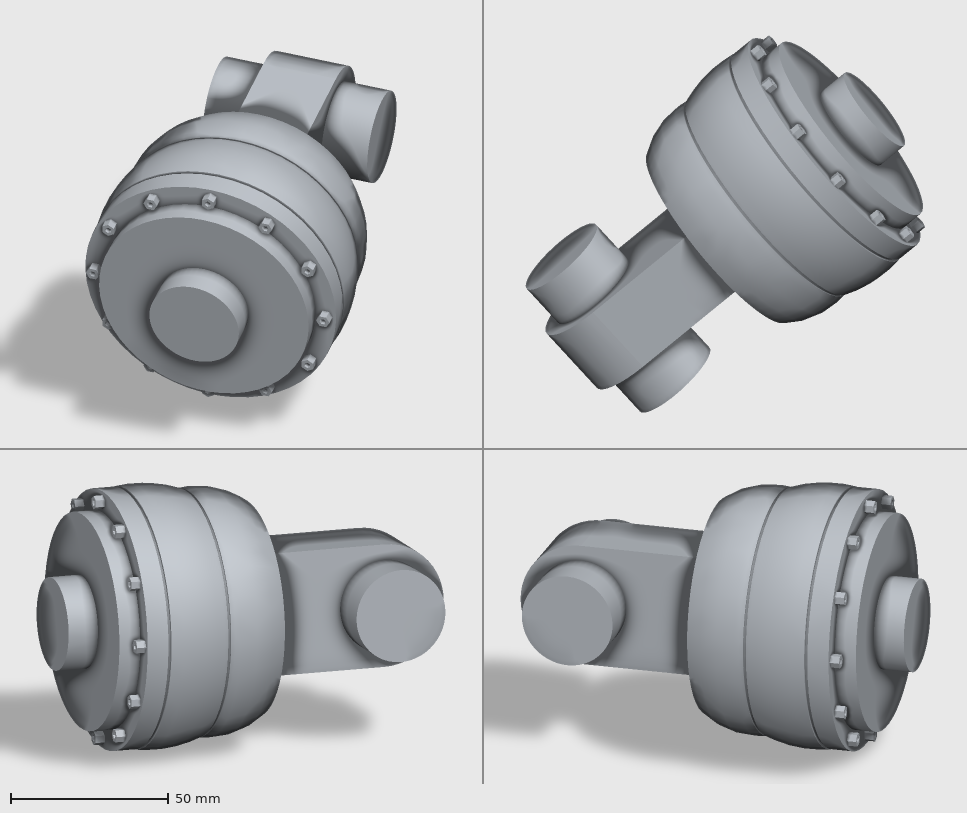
import cadquery as cq

TOTAL_LENGTH = 128.0

LINK_WIDTH = 24.3
LINK_HEIGHT = 40.0
LINK_END_RADIUS = LINK_HEIGHT / 2
PIN_DIAMETER = 30.1
PIN_LENGTH = 55.0

RING_LENGTH = 20.0
SPACER_LENGTH = 1.0
FLANGE_LENGTH = 7.0
COVER_LENGTH = 7.0
SHAFT_TIP_Y = LINK_END_RADIUS - TOTAL_LENGTH
BODY_BACK_Y = -42.0
REAR_RING_END_Y = BODY_BACK_Y - RING_LENGTH
FRONT_RING_START_Y = REAR_RING_END_Y - SPACER_LENGTH
FRONT_RING_END_Y = FRONT_RING_START_Y - RING_LENGTH
FLANGE_START_Y = FRONT_RING_END_Y - SPACER_LENGTH
FLANGE_FACE_Y = FLANGE_START_Y - FLANGE_LENGTH
COVER_FACE_Y = FLANGE_FACE_Y - COVER_LENGTH

REAR_RING_RADII = (35.0, 39.5, 39.8)
FRONT_RING_RADII = (40.0, 42.4, 42.1)

REAR_SPACER_RADIUS = 39.3
FRONT_SPACER_RADIUS = 41.2
FLANGE_RADIUS = 42.0
COVER_RADIUS = 35.1
SHAFT_RADIUS = 15.0

SCREW_COUNT = 12
SCREW_CIRCLE_RADIUS = 38.5
SCREW_HEAD_HEIGHT = 3.1
SCREW_HEAD_CORNERS = 4.5
SOCKET_CORNERS = 2.2
SOCKET_DEPTH = SCREW_HEAD_HEIGHT / 2


def body():
    """Housing turned about the Y axis: two bulged rings, spacers, flange, cover and shaft."""
    rear_back, rear_middle, rear_front = REAR_RING_RADII
    front_back, front_middle, front_front = FRONT_RING_RADII
    rear_middle_y = (BODY_BACK_Y + REAR_RING_END_Y) / 2
    front_middle_y = (FRONT_RING_START_Y + FRONT_RING_END_Y) / 2
    return (
        cq.Workplane("YZ")
        .moveTo(BODY_BACK_Y, 0)
        .lineTo(BODY_BACK_Y, rear_back)
        .threePointArc((rear_middle_y, rear_middle), (REAR_RING_END_Y, rear_front))
        .lineTo(REAR_RING_END_Y, REAR_SPACER_RADIUS)
        .lineTo(FRONT_RING_START_Y, REAR_SPACER_RADIUS)
        .lineTo(FRONT_RING_START_Y, front_back)
        .threePointArc((front_middle_y, front_middle), (FRONT_RING_END_Y, front_front))
        .lineTo(FRONT_RING_END_Y, FRONT_SPACER_RADIUS)
        .lineTo(FLANGE_START_Y, FRONT_SPACER_RADIUS)
        .lineTo(FLANGE_START_Y, FLANGE_RADIUS)
        .lineTo(FLANGE_FACE_Y, FLANGE_RADIUS)
        .lineTo(FLANGE_FACE_Y, COVER_RADIUS)
        .lineTo(COVER_FACE_Y, COVER_RADIUS)
        .lineTo(COVER_FACE_Y, SHAFT_RADIUS)
        .lineTo(SHAFT_TIP_Y, SHAFT_RADIUS)
        .lineTo(SHAFT_TIP_Y, 0)
        .close()
        .revolve(360, (0, 0), (1, 0))
    )


def link():
    """Flat bar with a round end, running from the back of the body to the pin."""
    return (
        cq.Workplane("YZ")
        .moveTo(BODY_BACK_Y, -LINK_END_RADIUS)
        .lineTo(0, -LINK_END_RADIUS)
        .threePointArc((LINK_END_RADIUS, 0), (0, LINK_END_RADIUS))
        .lineTo(BODY_BACK_Y, LINK_END_RADIUS)
        .close()
        .extrude(LINK_WIDTH / 2, both=True)
    )


def pin():
    """Round pin through the link, concentric with its round end."""
    return cq.Workplane("YZ").circle(PIN_DIAMETER / 2).extrude(PIN_LENGTH / 2, both=True)


def hexagon_prism(base_y, length, corners):
    """Hexagonal prism on the +X side of the screw circle, growing toward -Y from base_y."""
    return (
        cq.Workplane("XZ", origin=(SCREW_CIRCLE_RADIUS, base_y, 0))
        .polygon(6, corners)
        .extrude(length)
    )


def screw_head():
    """Hexagon head with a hexagon socket, one corner pointing away from the drive axis."""
    socket_floor_y = FLANGE_FACE_Y - SCREW_HEAD_HEIGHT + SOCKET_DEPTH
    head = hexagon_prism(FLANGE_FACE_Y, SCREW_HEAD_HEIGHT, SCREW_HEAD_CORNERS)
    return head.cut(hexagon_prism(socket_floor_y, SOCKET_DEPTH, SOCKET_CORNERS))


result = body().union(link()).union(pin())
for index in range(SCREW_COUNT):
    angle = 360 / SCREW_COUNT * index
    result = result.union(screw_head().rotate((0, 0, 0), (0, 1, 0), angle))